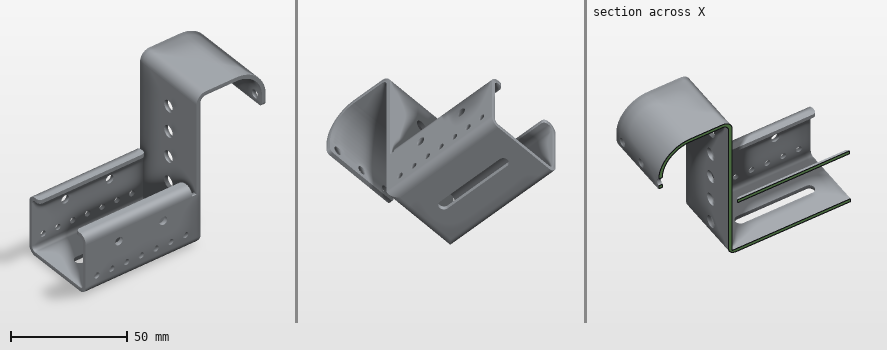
import cadquery as cq

sheet = 2.0
width = 40.0
height = 80.0

channel_length = 60.0
channel_height = 31.0
channel_bend = 4.0
lip_width = 7.0
lip_gap = 2.37
lip_corner = 2.0

hook_reach = 37.37
hook_drop = 22.0
hook_radius = 16.0
shoulder_radius = 5.0
tip_corner = 2.0
tip_hole_diameter = 4.2
tip_hole_z = 62.0
tip_hole_positions = (-15.0, 0.0, 15.0)

upright_hole_diameter = 6.0
upright_hole_count = 5
upright_hole_first_z = 8.5
upright_hole_pitch = 13.5

nail_hole_diameter = 3.0
nail_hole_count = 7
nail_hole_first = 6.0
nail_hole_pitch = 8.0
nail_hole_z = 8.0
bolt_hole_diameter = 4.2
bolt_hole_distances = (18.0, 42.0)
bolt_hole_z = 21.0

slot_length = 40.0
slot_width = 5.0
slot_center = 30.5


def block(x_range, y_range, z_range):
    """Box spanning the given (low, high) ranges."""
    corner = (x_range[0], y_range[0], z_range[0])
    length, depth, rise = [high - low for low, high in (x_range, y_range, z_range)]
    return cq.Workplane("XY").box(length, depth, rise, centered=False).translate(corner)


def full_width_block(y_range, z_range):
    return block((-width / 2, width / 2), y_range, z_range)


def hook_envelope(offset):
    """Block filling the hook's outer surface, shrunk inwards by offset."""
    envelope = full_width_block((offset, hook_reach - offset), (0, height - offset))
    envelope = envelope.edges("|X and >Z and <Y").fillet(shoulder_radius - offset)
    return envelope.edges("|X and >Z and >Y").fillet(hook_radius - offset)


def make_strap():
    """Upright and hook bent from one strip of sheet."""
    strap = hook_envelope(0).cut(hook_envelope(sheet))
    tip_end = height - hook_drop
    strap = strap.cut(full_width_block((sheet, hook_reach), (0, tip_end)))
    tip = full_width_block((sheet, hook_reach), (tip_end, height))
    rounded_tip = tip.edges("|Y and <Z").fillet(tip_corner)
    return strap.cut(tip.cut(rounded_tip))


def channel_envelope(offset):
    """Rounded bar filling the channel's outer surface, shrunk inwards by offset."""
    half = width / 2 - offset
    bar = block((-half, half), (-channel_length, sheet), (offset, channel_height - offset))
    return bar.edges("|Y").fillet(channel_bend - offset)


def make_channel():
    """C-shaped channel whose inward lips have rounded corners and stop short of the upright."""
    channel = channel_envelope(0).cut(channel_envelope(sheet))
    lip_base = channel_height - channel_bend
    channel = channel.cut(full_width_block((-lip_gap, sheet), (lip_base, channel_height)))
    opening_half = width / 2 - lip_width
    opening = block(
        (-opening_half, opening_half),
        (-channel_length, -lip_gap),
        (lip_base, channel_height),
    )
    channel = channel.cut(opening)
    margin = sheet / 2
    lip_ends = cq.selectors.BoxSelector(
        (-opening_half - margin, -channel_length - margin, lip_base),
        (opening_half + margin, -lip_gap + margin, channel_height),
    )
    return channel.edges("|Z").edges(lip_ends).fillet(lip_corner)


def round_foot(body):
    """Carry the channel's outer bend radius around the foot of the upright."""
    outline = full_width_block((-channel_length, hook_reach), (0, height))
    outline = outline.edges("|Y and <Z").fillet(channel_bend)
    foot = full_width_block((-channel_length, sheet), (0, channel_height))
    rounded_foot = foot.edges("|X and <Z and >Y").fillet(channel_bend)
    return body.intersect(outline).cut(foot.cut(rounded_foot))


def hole_along_y(diameter, x, z, y_range):
    start, end = y_range
    hole = cq.Workplane("XZ").center(x, z).circle(diameter / 2).extrude(start - end)
    return hole.translate((0, start, 0))


def hole_along_x(diameter, distance, z):
    """Hole through both channel sides at a distance from the upright."""
    outline = cq.Workplane("YZ").center(-distance, z).circle(diameter / 2)
    return outline.extrude(width / 2, both=True)


def cut_strap_holes(body):
    for index in range(upright_hole_count):
        z = upright_hole_first_z + index * upright_hole_pitch
        body = body.cut(hole_along_y(upright_hole_diameter, 0, z, (0, sheet)))
    tip_wall = (hook_reach - sheet, hook_reach)
    for x in tip_hole_positions:
        body = body.cut(hole_along_y(tip_hole_diameter, x, tip_hole_z, tip_wall))
    return body


def cut_channel_holes(body):
    for index in range(nail_hole_count):
        distance = nail_hole_first + index * nail_hole_pitch
        body = body.cut(hole_along_x(nail_hole_diameter, distance, nail_hole_z))
    for distance in bolt_hole_distances:
        body = body.cut(hole_along_x(bolt_hole_diameter, distance, bolt_hole_z))
    return body


def cut_floor_slot(body):
    slot = cq.Workplane("XY").center(0, -slot_center).slot2D(slot_length, slot_width, 90).extrude(sheet)
    return body.cut(slot)


result = round_foot(make_strap().union(make_channel()))
result = cut_strap_holes(result)
result = cut_channel_holes(result)
result = cut_floor_slot(result)